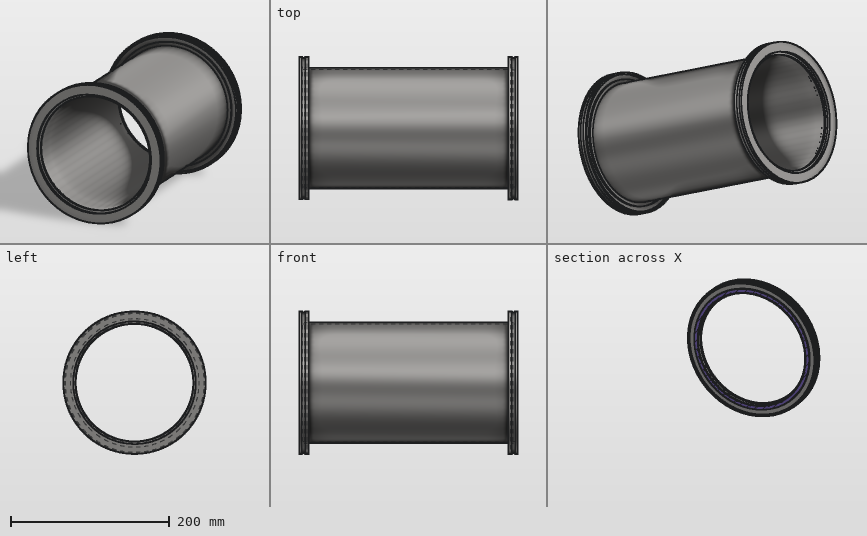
import cadquery as cq

TOTAL_LENGTH = 275.8

TUBE_OUTER_DIAMETER = 152.5
TUBE_BORE_DIAMETER = 149.2

FLANGE_DIAMETER = 180.0
FLANGE_THICKNESS = 12.0
LIP_BORE_DIAMETER = 148.0
COUNTERBORE_DIAMETER = 155.0
COUNTERBORE_DEPTH = 3.9
LIP_LENGTH = 2.5

CLAMP_GROOVE_INNER_DIAMETER = 162.2
CLAMP_GROOVE_OUTER_DIAMETER = 175.0
CLAMP_GROOVE_DEPTH = 2.5

RIM_GROOVE_START = 3.5
RIM_GROOVE_WIDTH = 4.0
RIM_GROOVE_DEPTH = 1.5

SOCKET_START = COUNTERBORE_DEPTH + LIP_LENGTH
TUBE_LENGTH = TOTAL_LENGTH - 2 * SOCKET_START


def cylinder(diameter, start, length):
    """Solid cylinder along +X, beginning at x = start."""
    return cq.Workplane("YZ", origin=(start, 0, 0)).circle(diameter / 2).extrude(length)


def make_tube():
    """Plain tube centred on the origin."""
    outside = cylinder(TUBE_OUTER_DIAMETER, -TUBE_LENGTH / 2, TUBE_LENGTH)
    bore = cylinder(TUBE_BORE_DIAMETER, -TUBE_LENGTH / 2, TUBE_LENGTH)
    return outside.cut(bore)


def make_clamp_groove():
    """Ring of material removed from the back face."""
    start = FLANGE_THICKNESS - CLAMP_GROOVE_DEPTH
    outside = cylinder(CLAMP_GROOVE_OUTER_DIAMETER, start, CLAMP_GROOVE_DEPTH)
    return outside.cut(cylinder(CLAMP_GROOVE_INNER_DIAMETER, start, CLAMP_GROOVE_DEPTH))


def make_rim_groove():
    """Circular-arc profile revolved about the X axis."""
    rim_radius = FLANGE_DIAMETER / 2
    return (
        cq.Workplane("XY")
        .moveTo(RIM_GROOVE_START, rim_radius)
        .threePointArc(
            (RIM_GROOVE_START + RIM_GROOVE_WIDTH / 2, rim_radius - RIM_GROOVE_DEPTH),
            (RIM_GROOVE_START + RIM_GROOVE_WIDTH, rim_radius),
        )
        .close()
        .revolve(360, (0, 0, 0), (1, 0, 0))
    )


def make_flange():
    """Flange with its sealing face at x = 0 and its back face toward +X."""
    socket_depth = FLANGE_THICKNESS - SOCKET_START
    return (
        cylinder(FLANGE_DIAMETER, 0, FLANGE_THICKNESS)
        .cut(cylinder(COUNTERBORE_DIAMETER, 0, COUNTERBORE_DEPTH))
        .cut(cylinder(LIP_BORE_DIAMETER, 0, FLANGE_THICKNESS))
        .cut(cylinder(TUBE_OUTER_DIAMETER, SOCKET_START, socket_depth))
        .cut(make_clamp_groove())
        .cut(make_rim_groove())
    )


tube = make_tube()

flanges = []
for turn in (0, 180):
    flange = make_flange().translate((-TOTAL_LENGTH / 2, 0, 0))
    flanges.append(flange.rotate((0, 0, 0), (0, 0, 1), turn))

result = cq.Compound.makeCompound([tube.val(), *[flange.val() for flange in flanges]])